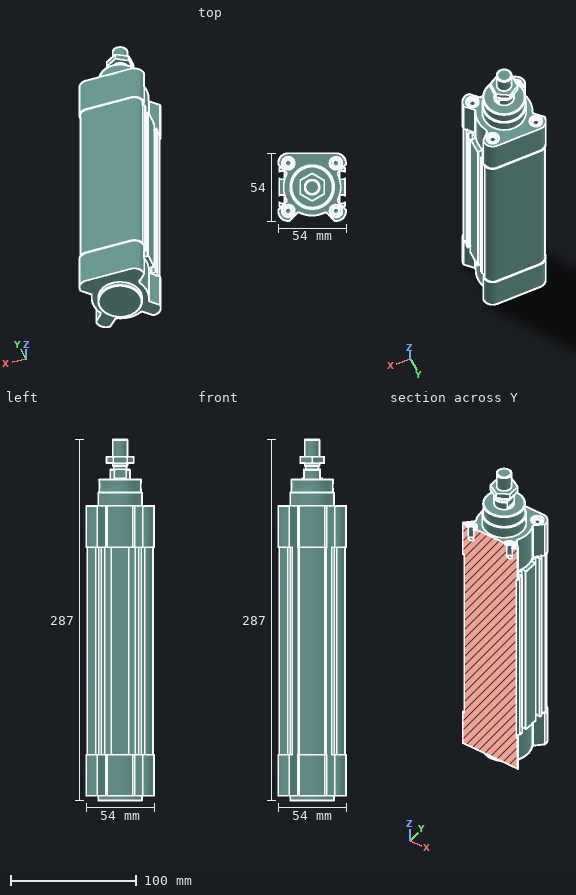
import cadquery as cq
import math

total_height = 287.0
spigot_height = 4.0
cap_height = 32.7
front_cap_top = 234.0
front_cap_bottom = front_cap_top - cap_height
rear_cap_top = spigot_height + cap_height
barrel_height = front_cap_bottom - rear_cap_top
collar_top = 245.0
ring_top = 255.3
shoulder_z = 263.0
thread_bottom = 266.2
nut_bottom = 268.0
nut_height = 5.2

cap_width = 54.0
barrel_width = 52.5
bolt_offset = 19.0
bulge_radius = 22.7
barrel_bulge_radius = 22.5
bulge_half_chord = 10.0
flank_shift = 9.0
notch_floor = 24.7
notch_outer = 17.5
side_notch_start = 15.0
side_notch_middle = 17.0
side_notch_bottom = 24.0
post_edge = 19.5
slot_inner = 6.3
slot_outer = 12.5
lip_overhang = 0.5
lip_depth = 1.1
slot_floor = 22.0

collar_diameter = 35.0
ring_diameter = 33.5
ring_waist_diameter = 33.0
end_chamfer = 0.5

recess_diameter = 10.3
recess_inner_diameter = 9.0
recess_depth = 1.5
thread_hole_mouth = 6.0
thread_hole_diameter = 5.0
thread_hole_depth = 11.5
drill_half_angle = 59

rod_diameter = 16.0
rod_flats = 13.0
shaft_above_ring = 1.0
rod_flat_bottom = ring_top + shaft_above_ring
rod_bottom = front_cap_bottom
thread_diameter = 12.0
tip_chamfer = 0.72
undercut_diameter = 10.3
shoulder_chamfer = 0.5

nut_flats = 19.0
nut_chamfer_angle = 10


def bulge_reach(radius):
    """Distance from the centre at which a round body ends beside the posts."""
    return math.sqrt(radius**2 - bulge_half_chord**2)


def cap(bottom):
    half = cap_width / 2
    radius = half - bolt_offset
    diagonal = bolt_offset + radius / math.sqrt(2)
    flank_end = half - flank_shift
    bulge_end = bulge_reach(bulge_radius)
    flank_foot = bulge_end - flank_shift
    outline = (
        cq.Workplane("XY", origin=(0, 0, bottom))
        .moveTo(-bolt_offset, half)
        .lineTo(bolt_offset, half)
        .threePointArc((diagonal, diagonal), (half, bolt_offset))
        .lineTo(half, flank_end)
        .lineTo(bulge_end, flank_foot)
        .lineTo(bulge_end, bulge_half_chord)
        .threePointArc((bulge_radius, 0), (bulge_end, -bulge_half_chord))
        .lineTo(bulge_end, -flank_foot)
        .lineTo(half, -flank_end)
        .lineTo(half, -bolt_offset)
        .threePointArc((diagonal, -diagonal), (bolt_offset, -half))
        .lineTo(flank_end, -half)
        .lineTo(flank_foot, -bulge_end)
        .lineTo(bulge_half_chord, -bulge_end)
        .threePointArc((0, -bulge_radius), (-bulge_half_chord, -bulge_end))
        .lineTo(-flank_foot, -bulge_end)
        .lineTo(-flank_end, -half)
        .lineTo(-bolt_offset, -half)
        .threePointArc((-diagonal, -diagonal), (-half, -bolt_offset))
        .lineTo(-half, -flank_end)
        .lineTo(-bulge_end, -flank_foot)
        .lineTo(-bulge_end, -bulge_half_chord)
        .threePointArc((-bulge_radius, 0), (-bulge_end, bulge_half_chord))
        .lineTo(-bulge_end, flank_foot)
        .lineTo(-half, flank_end)
        .lineTo(-half, bolt_offset)
        .threePointArc((-diagonal, diagonal), (-bolt_offset, half))
        .close()
    )
    return outline.extrude(cap_height)


def barrel_prism(points):
    return cq.Workplane("XY", origin=(0, 0, rear_cap_top)).polyline(points).close().extrude(barrel_height)


def barrel():
    half = barrel_width / 2
    body = (
        cq.Workplane("XY", origin=(0, 0, rear_cap_top))
        .rect(barrel_width, barrel_width)
        .extrude(barrel_height)
        .edges("|Z")
        .fillet(half - bolt_offset)
    )

    bulge_end = bulge_reach(barrel_bulge_radius)
    flank_foot = bulge_end - flank_shift
    flank_top = notch_floor - flank_shift
    valley = (
        cq.Workplane("XY", origin=(0, 0, rear_cap_top))
        .moveTo(bulge_half_chord, -bulge_end)
        .lineTo(flank_foot, -bulge_end)
        .lineTo(flank_top, -notch_floor)
        .lineTo(notch_outer, -notch_floor)
        .lineTo(post_edge, -half)
        .lineTo(-post_edge, -half)
        .lineTo(-notch_outer, -notch_floor)
        .lineTo(-flank_top, -notch_floor)
        .lineTo(-flank_foot, -bulge_end)
        .lineTo(-bulge_half_chord, -bulge_end)
        .threePointArc((0, -barrel_bulge_radius), (bulge_half_chord, -bulge_end))
        .close()
        .extrude(barrel_height)
    )
    body = body.cut(valley)

    for side in (-1, 1):
        for end in (-1, 1):
            slot = barrel_prism([
                (side * slot_floor, end * slot_inner),
                (side * (half - lip_depth), end * slot_inner),
                (side * half, end * (slot_inner + lip_overhang)),
                (side * half, end * (slot_outer - lip_overhang)),
                (side * (half - lip_depth), end * slot_outer),
                (side * slot_floor, end * slot_outer),
            ])
            notch = barrel_prism([
                (side * half, end * side_notch_start),
                (side * side_notch_bottom, end * side_notch_middle),
                (side * half, end * post_edge),
            ])
            body = body.cut(slot).cut(notch)
    return body


def turned(profile):
    """Solid of revolution about Z from (radius, z) points."""
    return cq.Workplane("XZ").polyline(profile).close().revolve(360, (0, 0, 0), (0, 1, 0))


def front_collar():
    """Collar with a slightly waisted ring above it."""
    collar_radius = collar_diameter / 2
    ring_radius = ring_diameter / 2
    ring_side_top = ring_top - end_chamfer
    profile = (
        cq.Workplane("XZ")
        .moveTo(0, front_cap_top)
        .lineTo(collar_radius, front_cap_top)
        .lineTo(collar_radius, collar_top - end_chamfer)
        .lineTo(collar_radius - end_chamfer, collar_top)
        .lineTo(ring_radius, collar_top)
        .threePointArc(
            (ring_waist_diameter / 2, (collar_top + ring_side_top) / 2),
            (ring_radius, ring_side_top),
        )
        .lineTo(ring_radius - end_chamfer, ring_top)
        .lineTo(0, ring_top)
        .close()
    )
    return profile.revolve(360, (0, 0, 0), (0, 1, 0))


def rear_spigot():
    spigot = cq.Workplane("XY").circle(collar_diameter / 2).extrude(spigot_height)
    return spigot.faces("<Z").edges().chamfer(end_chamfer)


def bolt_recess(x, y):
    """Recess for one bolt, with the bolt's threaded hole at its floor."""
    mouth_chamfer = (recess_diameter - recess_inner_diameter) / 2
    hole_chamfer = (thread_hole_mouth - thread_hole_diameter) / 2
    hole_radius = thread_hole_diameter / 2
    floor = front_cap_top - recess_depth
    hole_bottom = floor - thread_hole_depth
    drill_tip = hole_bottom - hole_radius / math.tan(math.radians(drill_half_angle))
    recess = turned([
        (0, front_cap_top),
        (recess_diameter / 2, front_cap_top),
        (recess_inner_diameter / 2, front_cap_top - mouth_chamfer),
        (recess_inner_diameter / 2, floor),
        (thread_hole_mouth / 2, floor),
        (hole_radius, floor - hole_chamfer),
        (hole_radius, hole_bottom),
        (0, drill_tip),
    ])
    return recess.translate((x, y, 0))


def make_housing():
    body = barrel().union(cap(spigot_height), clean=False).union(cap(front_cap_bottom), clean=False)
    body = body.union(front_collar(), clean=False).union(rear_spigot(), clean=False)
    for x in (-bolt_offset, bolt_offset):
        for y in (-bolt_offset, bolt_offset):
            body = body.cut(bolt_recess(x, y), clean=False)
    rod_hole = (
        cq.Workplane("XY", origin=(0, 0, rod_bottom))
        .circle(rod_diameter / 2)
        .extrude(ring_top - rod_bottom)
    )
    return body.cut(rod_hole, clean=False)


def make_rod():
    thread_radius = thread_diameter / 2
    undercut_radius = undercut_diameter / 2
    body = turned([
        (0, rod_bottom),
        (rod_diameter / 2, rod_bottom),
        (rod_diameter / 2, shoulder_z - shoulder_chamfer),
        (rod_diameter / 2 - shoulder_chamfer, shoulder_z),
        (undercut_radius, shoulder_z),
        (undercut_radius, thread_bottom - (thread_radius - undercut_radius)),
        (thread_radius, thread_bottom),
        (thread_radius, total_height - tip_chamfer),
        (thread_radius - tip_chamfer, total_height),
        (0, total_height),
    ])
    for side in (-1, 1):
        flat_cutter = (
            cq.Workplane("XY", origin=(side * (rod_flats + rod_diameter) / 2, 0, rod_flat_bottom))
            .rect(rod_diameter, rod_diameter)
            .extrude(shoulder_z - rod_flat_bottom)
        )
        body = body.cut(flat_cutter)
    return body


def make_nut():
    corner_turn = 30
    corner_radius = nut_flats / 2 / math.cos(math.radians(corner_turn))
    flat_radius = nut_flats / 2
    drop = (corner_radius - flat_radius) * math.tan(math.radians(nut_chamfer_angle))
    nut_top = nut_bottom + nut_height
    hexagon = (
        cq.Workplane("XY", origin=(0, 0, nut_bottom))
        .polygon(6, 2 * corner_radius)
        .extrude(nut_height)
        .rotate((0, 0, 0), (0, 0, 1), corner_turn)
    )
    chamfered_blank = turned([
        (thread_diameter / 2, nut_bottom),
        (flat_radius, nut_bottom),
        (corner_radius, nut_bottom + drop),
        (corner_radius, nut_top - drop),
        (flat_radius, nut_top),
        (thread_diameter / 2, nut_top),
    ])
    return hexagon.intersect(chamfered_blank)


housing = make_housing()
rod = make_rod()
nut = make_nut()

result = cq.Compound.makeCompound([housing.val(), rod.val(), nut.val()])